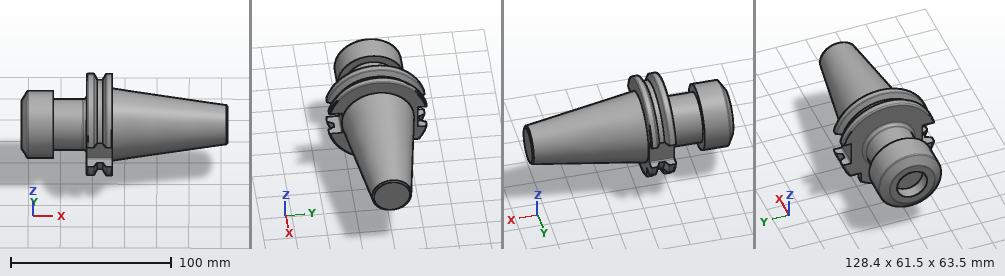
import cadquery as cq
import math

NUT_DIAMETER = 42.0
NUT_LENGTH = 19.9
NOSE_DIAMETER = 30.0
NOSE_CHAMFER_LENGTH = 3.7
NUT_EDGE_RADIUS = 0.9
BORE_DIAMETER = 20.0
BORE_DEPTH = 8.0

NECK_DIAMETER = 32.0
NECK_RELIEF_DIAMETER = 31.8
NECK_RELIEF_LENGTH = 0.9
NECK_FILLET_RADIUS = 1.9

FLANGE_DIAMETER = 63.5
FLANGE_START = 40.6
FLANGE_WIDTH = 16.0
FLANGE_FRONT_RADIUS = 1.0
FLANGE_REAR_RADIUS = 0.6
V_GROOVE_DIAMETER = 56.1
V_GROOVE_FLOOR_WIDTH = 3.3
V_GROOVE_CENTER = 48.9
V_GROOVE_MOUTH_RADIUS = 0.6
V_GROOVE_WALL_ANGLE = 30

DRIVE_SLOT_WIDTH = 16.0
DRIVE_SLOT_CORNER_RADIUS = 0.6
SHALLOW_SLOT_FLOOR = 25.0
DEEP_SLOT_FLOOR = 22.6
NOTCH_Y = 18.4
NOTCH_Z = -18.4
NOTCH_CORNER_RADIUS = 0.6

TOTAL_LENGTH = 128.4
TAPER_LARGE_DIAMETER = 45.3
TAPER_RATIO = 7 / 24
TAPER_END_CHAMFER = 0.9

FLANGE_END = FLANGE_START + FLANGE_WIDTH
FLANGE_RADIUS = FLANGE_DIAMETER / 2


def revolve_profile(profile):
    """Close an open XY profile and turn it around the X axis."""
    return profile.close().revolve(360, (0, 0, 0), (1, 0, 0))


def make_nut():
    radius = NUT_DIAMETER / 2
    profile = (
        cq.Workplane("XY")
        .lineTo(0, NOSE_DIAMETER / 2)
        .lineTo(NOSE_CHAMFER_LENGTH, radius)
        .lineTo(NUT_LENGTH, radius)
        .lineTo(NUT_LENGTH, 0)
    )
    return revolve_profile(profile).faces("%CONE").edges("%CIRCLE").fillet(NUT_EDGE_RADIUS)


def make_neck():
    radius = NECK_DIAMETER / 2
    relief_radius = NECK_RELIEF_DIAMETER / 2
    fillet_start = FLANGE_START - NECK_FILLET_RADIUS
    arc_offset = NECK_FILLET_RADIUS * math.sqrt(0.5)
    arc_middle = (fillet_start + arc_offset, relief_radius + NECK_FILLET_RADIUS - arc_offset)
    profile = (
        cq.Workplane("XY")
        .moveTo(NUT_LENGTH, 0)
        .lineTo(NUT_LENGTH, radius)
        .lineTo(fillet_start - NECK_RELIEF_LENGTH, radius)
        .lineTo(fillet_start, relief_radius)
        .threePointArc(arc_middle, (FLANGE_START, relief_radius + NECK_FILLET_RADIUS))
        .lineTo(FLANGE_START, 0)
    )
    return revolve_profile(profile)


def make_flange():
    groove_radius = V_GROOVE_DIAMETER / 2
    half_floor = V_GROOVE_FLOOR_WIDTH / 2
    wall_run = (FLANGE_RADIUS - groove_radius) * math.tan(math.radians(V_GROOVE_WALL_ANGLE))
    profile = (
        cq.Workplane("XY")
        .moveTo(FLANGE_START, 0)
        .lineTo(FLANGE_START, FLANGE_RADIUS)
        .lineTo(V_GROOVE_CENTER - half_floor - wall_run, FLANGE_RADIUS)
        .lineTo(V_GROOVE_CENTER - half_floor, groove_radius)
        .lineTo(V_GROOVE_CENTER + half_floor, groove_radius)
        .lineTo(V_GROOVE_CENTER + half_floor + wall_run, FLANGE_RADIUS)
        .lineTo(FLANGE_END, FLANGE_RADIUS)
        .lineTo(FLANGE_END, 0)
    )
    flange = revolve_profile(profile)
    flange = flange.faces("<X").edges().fillet(FLANGE_FRONT_RADIUS)
    flange = flange.faces(">X").edges().fillet(FLANGE_REAR_RADIUS)
    walls = flange.faces("%CONE")
    return walls.edges("<X or >X").fillet(V_GROOVE_MOUTH_RADIUS)


def make_shank():
    length = TOTAL_LENGTH - FLANGE_END
    small_diameter = TAPER_LARGE_DIAMETER - TAPER_RATIO * length
    profile = (
        cq.Workplane("XY")
        .moveTo(FLANGE_END, 0)
        .lineTo(FLANGE_END, TAPER_LARGE_DIAMETER / 2)
        .lineTo(TOTAL_LENGTH, small_diameter / 2)
        .lineTo(TOTAL_LENGTH, 0)
    )
    return revolve_profile(profile).faces(">X").chamfer(TAPER_END_CHAMFER)


def flange_cutter(y_min, z_min, y_size, z_size):
    """Block running the full flange width, placed by its lower Y and Z corner."""
    return cq.Workplane("XY").box(FLANGE_WIDTH, y_size, z_size, centered=False).translate(
        (FLANGE_START, y_min, z_min)
    )


def drive_slot(floor, side):
    """Radial slot on the +Y (side = 1) or -Y (side = -1) edge of the flange."""
    y_min = min(side * floor, side * (floor + FLANGE_RADIUS))
    return flange_cutter(y_min, -DRIVE_SLOT_WIDTH / 2, FLANGE_RADIUS, DRIVE_SLOT_WIDTH)


def orientation_notch():
    notch = flange_cutter(NOTCH_Y, NOTCH_Z - FLANGE_RADIUS, FLANGE_RADIUS, FLANGE_RADIUS)
    return notch.edges("|X and <Y and >Z").fillet(NOTCH_CORNER_RADIUS)


deep_slot = drive_slot(DEEP_SLOT_FLOOR, -1).edges("|X and >Y").fillet(DRIVE_SLOT_CORNER_RADIUS)
shallow_slot = drive_slot(SHALLOW_SLOT_FLOOR, 1).edges("|X and <Y").fillet(DRIVE_SLOT_CORNER_RADIUS)
flange = make_flange().cut(deep_slot).cut(shallow_slot).cut(orientation_notch())
bore = cq.Workplane("YZ").circle(BORE_DIAMETER / 2).extrude(BORE_DEPTH)

result = make_nut().union(make_neck()).union(flange).union(make_shank()).cut(bore)